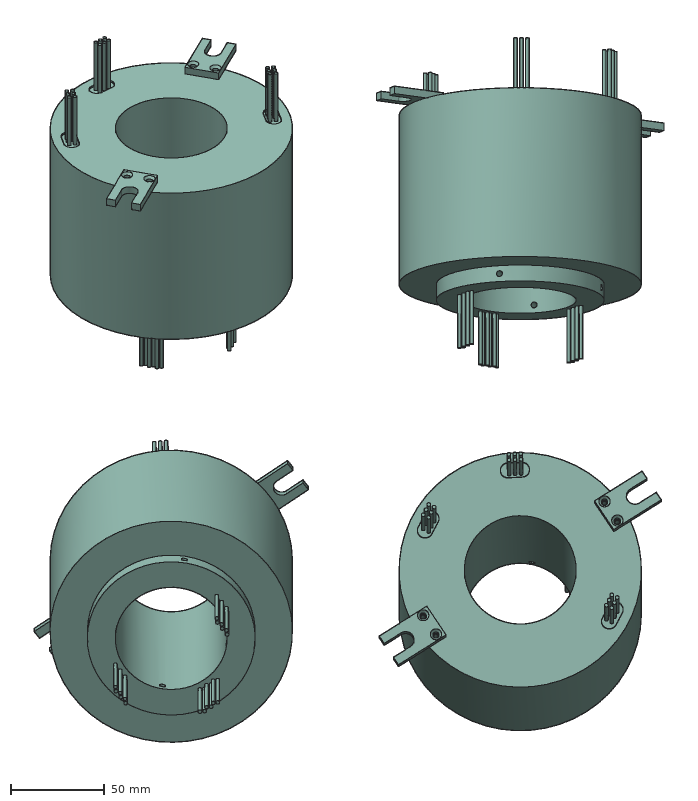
import cadquery as cq
import math


housing_diameter = 130.0
housing_height = 93.0
flange_diameter = 90.0
flange_height = 8.7
bore_diameter = 60.0

set_screw_diameter = 3.2
set_screw_angles = (45, 135, 225, 315)

lug_angles = (0, 180)
lug_span = 168.0
lug_width = 19.0
lug_length = 30.4
lug_thickness = 4.2
fork_width = 9.0
fork_depth = 15.3
screw_spacing = 12.6
screw_inset = 4.4
screw_y = lug_span / 2 - lug_length + screw_inset
screw_hole_diameter = 3.4
countersink_diameter = 6.0
countersink_angle = 90

tapped_diameter = 2.4
tapped_depth = 10.0
drill_tip_angle = 118

wire_diameter = 2.0
wire_protrusion = 29.2

pocket_angles = (30, 150, 210)
pocket_radius = 55.5
pocket_length = 15.6
pocket_width = 8.2
pocket_depth = 1.0
bundle_radius = 55.1
grid_columns = 3
grid_rows = 2
grid_pitch = 3.2

lower_bundle_angles = (-90, 0, 90)
lower_wire_count = 6
lower_wire_pitch = 2.2
lower_outer_row = 34.5
lower_inner_row = 33.3
lower_bundle_shift = -0.3


def turn_about_axis(shape, angle):
    return shape.rotate((0, 0, 0), (0, 0, 1), angle)


def make_body():
    housing = cq.Workplane("XY").circle(housing_diameter / 2).extrude(housing_height)
    flange = cq.Workplane("XY").circle(flange_diameter / 2).extrude(-flange_height)
    bore = (
        cq.Workplane("XY", origin=(0, 0, -flange_height))
        .circle(bore_diameter / 2)
        .extrude(flange_height + housing_height)
    )
    return housing.union(flange).cut(bore)


def make_set_screw_hole():
    """Radial hole along +X, from the bore axis out through the flange."""
    return (
        cq.Workplane("YZ", origin=(0, 0, -flange_height / 2))
        .circle(set_screw_diameter / 2)
        .extrude(flange_diameter / 2)
    )


def make_lug():
    """Lug at the +Y edge, with its fork open outwards."""
    tip_y = lug_span / 2
    fork_radius = fork_width / 2
    fork_centre_y = tip_y - fork_depth + fork_radius
    plate = cq.Workplane("XY", origin=(0, 0, housing_height)).rect(lug_width, lug_length)
    plate = plate.extrude(lug_thickness).translate((0, tip_y - lug_length / 2, 0))
    fork = (
        cq.Workplane("XY", origin=(0, 0, housing_height))
        .moveTo(fork_radius, tip_y)
        .lineTo(fork_radius, fork_centre_y)
        .threePointArc((0, tip_y - fork_depth), (-fork_radius, fork_centre_y))
        .lineTo(-fork_radius, tip_y)
        .close()
        .extrude(lug_thickness)
    )
    return (
        plate.cut(fork)
        .faces(">Z")
        .workplane(origin=(0, screw_y, 0))
        .pushPoints([(-screw_spacing / 2, 0), (screw_spacing / 2, 0)])
        .cskHole(screw_hole_diameter, countersink_diameter, countersink_angle)
    )


def make_tapped_hole():
    """Half-profile of the drilled hole, revolved about the vertical hole axis at the origin."""
    radius = tapped_diameter / 2
    tip_length = radius / math.tan(math.radians(drill_tip_angle / 2))
    return (
        cq.Workplane("XZ")
        .lineTo(radius, 0)
        .lineTo(radius, -tapped_depth)
        .lineTo(0, -tapped_depth - tip_length)
        .close()
        .revolve(360, (0, 0, 0), (0, 1, 0))
    )


def make_pocket():
    """Pocket in the housing top at +X, long side tangential."""
    return (
        cq.Workplane("XY", origin=(pocket_radius, 0, housing_height - pocket_depth))
        .slot2D(pocket_length, pocket_width, 90)
        .extrude(pocket_depth)
    )


def make_upper_bundle():
    """Bundle rising from the pocket floor at +X, longer grid direction tangential."""
    return (
        cq.Workplane("XY", origin=(bundle_radius, 0, housing_height - pocket_depth))
        .rarray(grid_pitch, grid_pitch, grid_rows, grid_columns)
        .circle(wire_diameter / 2)
        .extrude(pocket_depth + wire_protrusion)
    )


def make_lower_bundle():
    """Bundle under the flange at +X; even wires in the outer row, odd in the inner."""
    first_y = lower_bundle_shift - lower_wire_pitch * (lower_wire_count - 1) / 2
    centres = []
    for i in range(lower_wire_count):
        row = lower_outer_row if i % 2 == 0 else lower_inner_row
        centres.append((row, first_y + i * lower_wire_pitch))
    return (
        cq.Workplane("XY", origin=(0, 0, -flange_height))
        .pushPoints(centres)
        .circle(wire_diameter / 2)
        .extrude(-wire_protrusion)
    )


result = make_body()

for angle in set_screw_angles:
    result = result.cut(turn_about_axis(make_set_screw_hole(), angle))

for angle in pocket_angles:
    result = result.cut(turn_about_axis(make_pocket(), angle))
    result = result.union(turn_about_axis(make_upper_bundle(), angle))

for angle in lower_bundle_angles:
    result = result.union(turn_about_axis(make_lower_bundle(), angle))

for angle in lug_angles:
    for side in (-1, 1):
        tapped_hole = make_tapped_hole().translate((side * screw_spacing / 2, screw_y, housing_height))
        result = result.cut(turn_about_axis(tapped_hole, angle))
    result = result.union(turn_about_axis(make_lug(), angle))